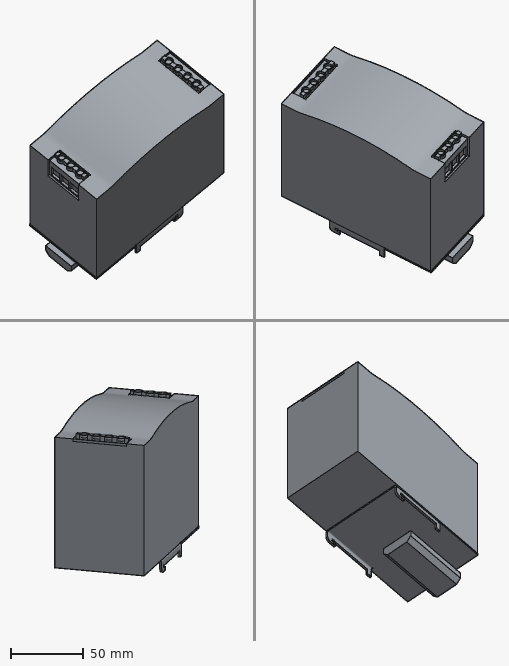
import cadquery as cq
import math


housing_width = 65.0
housing_front = -60.3
housing_back = 65.0
housing_middle = (housing_front + housing_back) / 2
shoulder_height = 94.4
crest_height = 100.1
crown_half_length = 50.5
blend_length = 5.2

terminal_pitch = 9.0
terminal_deck_height = 92.4
terminal_top_height = 96.2
wall_gap = 0.5
bar_depth = 3.2
barrel_diameter = 6.5
screw_hole_diameter = 5.0
screw_hole_depth = 2.1

front_count = 3
front_pocket_width = 29.5
front_pocket_back = -48.6
front_row_y = -52.6
front_recess_depth = 1.4
front_recess_bottom = 75.5
wire_opening_width = 7.7
wire_opening_height = 9.0
wire_opening_bottom = 77.0
wire_opening_depth = 2.0

back_count = 4
back_pocket_width = 39.0
back_pocket_front = 53.3
back_row_y = 57.1
back_wall = 0.5

sheet = 1.4
inner_bend_radius = 0.9
outer_bend_radius = inner_bend_radius + sheet
plate_front = -60.7
leg_front = -21.0
leg_back = 24.7
bend_relief = 0.5
hook_bottom = -9.8
stop_bottom = -10.0
rail_face = -5.6
stop_back = -17.2
hook_radius = 3.5
hook_tip = 16.2
hook_throat = 19.8
hook_slope_end = 17.8
hook_throat_top = -5.2
hook_throat_bottom = -6.5
hook_lip_top = -7.3

foot_width = 25.0
foot_front = -65.0
foot_back = -13.0
foot_bottom = -10.7
foot_chamfer_width = 3.6
foot_chamfer_height = 3.8


def block(x_size, y_start, y_end, z_start, z_end):
    """Box centred on X = 0 between the given Y and Z limits."""
    return (
        cq.Workplane("XY")
        .box(x_size, y_end - y_start, z_end - z_start, centered=(True, False, False))
        .translate((0, y_start, z_start))
    )


def row_positions(count):
    """X positions of a row of terminals, centred on X = 0."""
    return [(i - (count - 1) / 2) * terminal_pitch for i in range(count)]


def housing_shell():
    """Box whose top swells into a crown of a convex arc between two tangent concave arcs."""
    rise = crest_height - shoulder_height
    slope = 2 * math.atan(rise / crown_half_length)
    blend_radius = blend_length / math.sin(slope)

    def on_blend(side, angle):
        y = housing_middle + side * (crown_half_length - blend_radius * math.sin(angle))
        return y, shoulder_height + blend_radius * (1 - math.cos(angle))

    outline = (
        cq.Workplane("YZ")
        .moveTo(housing_front, 0)
        .lineTo(housing_front, shoulder_height)
        .lineTo(*on_blend(-1, 0))
        .threePointArc(on_blend(-1, slope / 2), on_blend(-1, slope))
        .threePointArc((housing_middle, crest_height), on_blend(1, slope))
        .threePointArc(on_blend(1, slope / 2), on_blend(1, 0))
        .lineTo(housing_back, shoulder_height)
        .lineTo(housing_back, 0)
        .close()
    )
    return outline.extrude(housing_width / 2, both=True)


def terminal_row(count, pocket_width, row_y):
    """Bar with one screw barrel per terminal, standing on the terminal deck."""
    centres = [(x, row_y) for x in row_positions(count)]
    row = block(
        pocket_width - 2 * wall_gap,
        row_y - bar_depth / 2,
        row_y + bar_depth / 2,
        terminal_deck_height,
        terminal_top_height,
    )
    barrels = (
        cq.Workplane("XY", origin=(0, 0, terminal_deck_height))
        .pushPoints(centres)
        .circle(barrel_diameter / 2)
        .extrude(terminal_top_height - terminal_deck_height)
    )
    screw_holes = (
        cq.Workplane("XY", origin=(0, 0, terminal_top_height))
        .pushPoints(centres)
        .circle(screw_hole_diameter / 2)
        .extrude(-screw_hole_depth)
    )
    return row.union(barrels).cut(screw_holes)


def wire_openings():
    """Rectangular blind openings in the recessed face of the front terminals."""
    face_y = housing_front + front_recess_depth
    opening = block(
        wire_opening_width,
        face_y,
        face_y + wire_opening_depth,
        wire_opening_bottom,
        wire_opening_bottom + wire_opening_height,
    )
    openings = cq.Workplane("XY")
    for x in row_positions(front_count):
        openings = openings.add(opening.translate((x, 0, 0)))
    return openings.combine()


def make_housing():
    front_deck = block(
        front_pocket_width, housing_front, front_pocket_back, terminal_deck_height, crest_height
    )
    front_recess = block(
        front_pocket_width,
        housing_front,
        housing_front + front_recess_depth,
        front_recess_bottom,
        crest_height,
    )
    back_deck = block(
        back_pocket_width,
        back_pocket_front,
        housing_back - back_wall,
        terminal_deck_height,
        crest_height,
    )
    return (
        housing_shell()
        .cut(front_deck)
        .cut(front_recess)
        .cut(back_deck)
        .cut(wire_openings())
        .union(terminal_row(front_count, front_pocket_width, front_row_y))
        .union(terminal_row(back_count, back_pocket_width, back_row_y))
    )


def bent_channel():
    """Sheet bent into a downward channel: a flat web with a leg along each side."""
    outside = block(housing_width, leg_front, leg_back, stop_bottom, 0)
    inside = block(housing_width - 2 * sheet, leg_front, leg_back, stop_bottom, -sheet)
    return (
        outside.edges("|Y and >Z")
        .fillet(outer_bend_radius)
        .cut(inside.edges("|Y and >Z").fillet(inner_bend_radius))
    )


def leg_profile():
    """Side shape of the legs: a hook at the back, a stop at the front, the rail gap between."""
    corner = hook_radius * (1 - math.sqrt(0.5))
    return (
        cq.Workplane("YZ")
        .moveTo(leg_front, 0)
        .lineTo(leg_front, stop_bottom)
        .lineTo(stop_back, stop_bottom)
        .lineTo(stop_back, rail_face)
        .lineTo(hook_slope_end, rail_face)
        .lineTo(hook_slope_end, hook_throat_top)
        .lineTo(hook_throat, hook_throat_top)
        .lineTo(hook_throat, hook_throat_bottom)
        .lineTo(hook_slope_end, hook_lip_top)
        .lineTo(hook_tip, hook_lip_top)
        .lineTo(hook_tip, hook_bottom)
        .lineTo(leg_back - hook_radius, hook_bottom)
        .threePointArc(
            (leg_back - corner, hook_bottom + corner), (leg_back, hook_bottom + hook_radius)
        )
        .lineTo(leg_back, 0)
        .close()
        .extrude(housing_width / 2, both=True)
    )


def front_plate():
    """Flat front part of the web, full width except for the bend reliefs beside the legs."""
    relief_end = leg_front - bend_relief
    plate = block(housing_width, plate_front, relief_end, -sheet, 0)
    neck = block(housing_width - 2 * outer_bend_radius, relief_end, leg_front, -sheet, 0)
    return plate.union(neck)


def release_foot():
    """Bar below the web with its two lower edges bevelled."""
    half_width = foot_width / 2
    half_bottom = half_width - foot_chamfer_width
    bevel_top = foot_bottom + foot_chamfer_height
    return (
        cq.Workplane("XZ", origin=(0, foot_back, 0))
        .polyline(
            [
                (-half_width, -sheet),
                (-half_width, bevel_top),
                (-half_bottom, foot_bottom),
                (half_bottom, foot_bottom),
                (half_width, bevel_top),
                (half_width, -sheet),
            ]
        )
        .close()
        .extrude(foot_back - foot_front)
    )


def make_bracket():
    return bent_channel().intersect(leg_profile()).union(front_plate()).union(release_foot())


housing = make_housing()
bracket = make_bracket()

result = cq.Compound.makeCompound([housing.val(), bracket.val()])